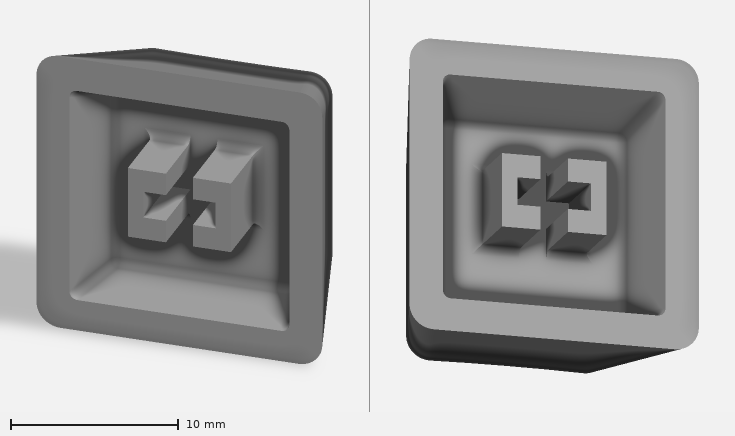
import cadquery as cq
import math

height = 10.0
rim_half = 9.0

side_lean = 2.8
upper_lean = height * math.tan(math.radians(20))
lower_lean = 1.0
corner_radius = 1.5

dish_depth = 0.5

wall = 2.0
cavity_depth = 4.5
inner_fillet = 0.5

stem_width = 6.5
stem_height = 4.55
slot_width = 1.7
cross_slot_length = 4.55


def tapered_block(inset, depth):
    """Block between the keycap walls, each moved inwards by inset square to its face."""

    def wall_position(lean, y):
        slope = lean / height
        return rim_half - inset * math.hypot(1, slope) - slope * y

    plan = [
        (-wall_position(side_lean, 0), 0),
        (wall_position(side_lean, 0), 0),
        (wall_position(side_lean, depth), depth),
        (-wall_position(side_lean, depth), depth),
    ]
    profile = [
        (0, -wall_position(lower_lean, 0)),
        (0, wall_position(upper_lean, 0)),
        (depth, wall_position(upper_lean, depth)),
        (depth, -wall_position(lower_lean, depth)),
    ]
    side_taper = cq.Workplane("XY").polyline(plan).close().extrude(rim_half, both=True)
    upright_taper = cq.Workplane("YZ").polyline(profile).close().extrude(rim_half, both=True)
    return side_taper.intersect(upright_taper)


def centred_bar(width, bar_height, depth):
    """Box centred on the Y axis, from Y = 0 to Y = depth."""
    return cq.Workplane("XY").box(width, depth, bar_height, centered=(True, False, True))


def make_shell():
    body = tapered_block(0, height).edges("not(|X or |Z)").fillet(corner_radius)
    top_half = rim_half - side_lean
    dish = (
        cq.Workplane("XY")
        .moveTo(-top_half, height)
        .threePointArc((0, height - dish_depth), (top_half, height))
        .close()
        .extrude(rim_half, both=True)
    )
    cavity = tapered_block(wall, cavity_depth).edges("not <Y").fillet(inner_fillet)
    return body.cut(dish).cut(cavity)


def add_stem(shell):
    keycap = shell.union(centred_bar(stem_width, stem_height, cavity_depth))
    reach = inner_fillet / 2
    root_zone = cq.selectors.BoxSelector(
        (-stem_width / 2 - reach, cavity_depth - reach, -stem_height / 2 - reach),
        (stem_width / 2 + reach, cavity_depth + reach, stem_height / 2 + reach),
    )
    keycap = keycap.edges(root_zone).fillet(inner_fillet)
    upright_slot = centred_bar(slot_width, stem_height + 2 * inner_fillet, cavity_depth)
    cross_slot = centred_bar(cross_slot_length, slot_width, cavity_depth)
    return keycap.cut(upright_slot).cut(cross_slot)


result = add_stem(make_shell())